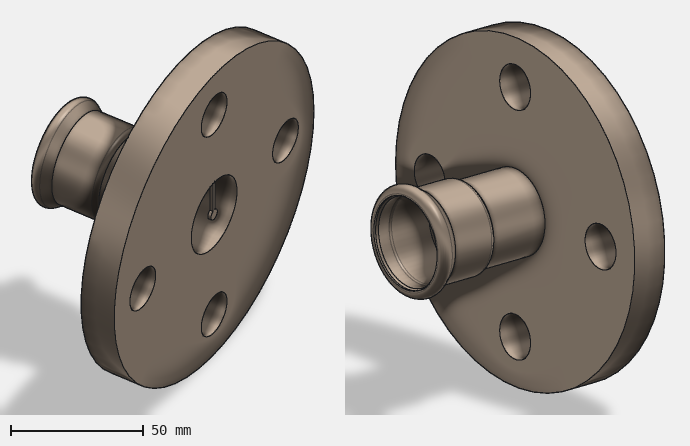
import cadquery as cq
import math

LENGTH = 68.7

FLANGE_DIAMETER = 140
FLANGE_THICKNESS = 14.8
FLANGE_FACE_X = LENGTH - FLANGE_THICKNESS
BOLT_HOLE_DIAMETER = 18.0
BOLT_CIRCLE_RADIUS = 50.0
BOLT_HOLE_COUNT = 4

SOCKET_RADIUS = 38.4 / 2
NECK_RADIUS = 35 / 2
BEAD_ROUND_RADIUS = 3.1
BEAD_ROUND_END_X = 4.8
SOCKET_START_X = 8.5
SHOULDER_START_X = 26.3
SHOULDER_END_X = 28.4

MOUTH_RADIUS = 37.0 / 2
ENTRY_RADIUS = 35.8 / 2
LEAD_IN_START_X = 0.8
LEAD_IN_END_X = 1.8
SEAT_RADIUS = 35.3 / 2
SEAT_TAPER_LENGTH = 1.0
SEAT_START_X = 8.0
BORE_RADIUS = 32.0 / 2

MARKER_DISC_RADIUS = 2.2
MARKER_STEM_WIDTH = 1.5
MARKER_THICKNESS = 1.4


def point_on_arc(center, radius, angle):
    """Point at an angle in radians, measured from the +X direction."""
    return (center[0] + radius * math.cos(angle), center[1] + radius * math.sin(angle))


def make_tube():
    """Revolved pipe with a beaded press socket and a stepped bore."""
    bead_center = (BEAD_ROUND_RADIUS, SOCKET_RADIUS)
    bead_end_angle = math.acos((BEAD_ROUND_END_X - BEAD_ROUND_RADIUS) / BEAD_ROUND_RADIUS)
    bead_middle = point_on_arc(bead_center, BEAD_ROUND_RADIUS, (math.pi + bead_end_angle) / 2)
    bead_end = point_on_arc(bead_center, BEAD_ROUND_RADIUS, bead_end_angle)

    shoulder_length = SHOULDER_END_X - SHOULDER_START_X
    shoulder_drop = SOCKET_RADIUS - NECK_RADIUS
    shoulder_round = (shoulder_length**2 + shoulder_drop**2) / (2 * shoulder_drop)
    shoulder_center = (SHOULDER_START_X, SOCKET_RADIUS - shoulder_round)
    shoulder_end_angle = math.acos(shoulder_length / shoulder_round)
    shoulder_middle = point_on_arc(
        shoulder_center, shoulder_round, (math.pi / 2 + shoulder_end_angle) / 2
    )

    return (
        cq.Workplane("XY")
        .moveTo(0, MOUTH_RADIUS)
        .lineTo(0, SOCKET_RADIUS)
        .threePointArc(bead_middle, bead_end)
        .lineTo(SOCKET_START_X, SOCKET_RADIUS)
        .lineTo(SHOULDER_START_X, SOCKET_RADIUS)
        .threePointArc(shoulder_middle, (SHOULDER_END_X, NECK_RADIUS))
        .lineTo(LENGTH, NECK_RADIUS)
        .lineTo(LENGTH, BORE_RADIUS)
        .lineTo(SHOULDER_START_X, BORE_RADIUS)
        .lineTo(SHOULDER_START_X, SEAT_RADIUS)
        .lineTo(SEAT_START_X, SEAT_RADIUS)
        .lineTo(SEAT_START_X - SEAT_TAPER_LENGTH, ENTRY_RADIUS)
        .lineTo(LEAD_IN_END_X, ENTRY_RADIUS)
        .lineTo(LEAD_IN_START_X, MOUTH_RADIUS)
        .close()
        .revolve(360, (0, 0, 0), (1, 0, 0))
    )


def make_flange():
    """Round flange plate with a ring of through bolt holes."""
    return (
        cq.Workplane("YZ", origin=(FLANGE_FACE_X, 0, 0))
        .circle(FLANGE_DIAMETER / 2)
        .circle(BORE_RADIUS)
        .extrude(FLANGE_THICKNESS)
        .faces("<X")
        .workplane(centerOption="ProjectedOrigin", origin=(0, 0, 0))
        .polarArray(BOLT_CIRCLE_RADIUS, 0, 360, BOLT_HOLE_COUNT)
        .hole(BOLT_HOLE_DIAMETER)
    )


def make_fitting():
    """Socket tube and flange as one solid."""
    return make_tube().union(make_flange())


def make_marker():
    """Small disc on the axis, held by a stem that reaches up to the bore wall."""
    plate = cq.Workplane("YZ", origin=(LENGTH - MARKER_THICKNESS, 0, 0))
    disc = plate.circle(MARKER_DISC_RADIUS).extrude(MARKER_THICKNESS)
    stem = (
        plate.center(0, BORE_RADIUS / 2)
        .rect(MARKER_STEM_WIDTH, BORE_RADIUS)
        .extrude(MARKER_THICKNESS)
    )
    bore = plate.circle(BORE_RADIUS).extrude(MARKER_THICKNESS)
    return disc.union(stem).intersect(bore)


fitting = make_fitting()
marker = make_marker()

result = cq.Compound.makeCompound([fitting.val(), marker.val()])